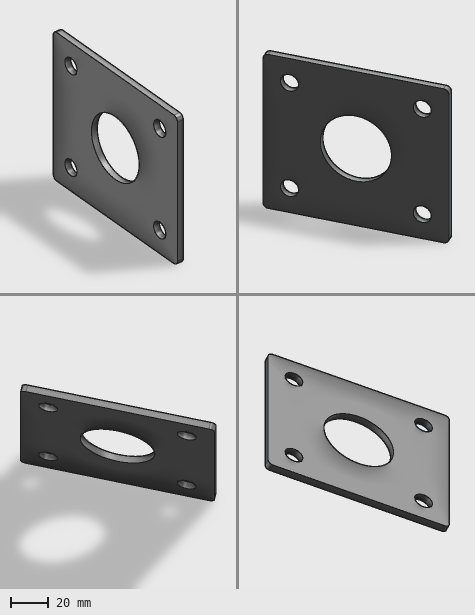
import cadquery as cq

plate_width = 105.0
plate_thickness = 4.0
plate_height = 95.0
corner_radius = 3.0

bore_diameter = 40.2

mount_hole_diameter = 10.15
mount_edge_distance = 15.0
mount_spacing_x = plate_width - 2 * mount_edge_distance
mount_spacing_z = plate_height - 2 * mount_edge_distance


def make_plate():
    """Upright plate centred on the origin, with its four corners rounded."""
    plate = cq.Workplane("XY").box(plate_width, plate_thickness, plate_height)
    return plate.edges("|Y").fillet(corner_radius)


def cut_bore(plate):
    """Cut the central opening through the thickness."""
    return plate.faces("<Y").workplane(centerOption="CenterOfBoundBox").hole(bore_diameter)


def cut_mount_holes(plate):
    """Cut the rectangular pattern of mounting holes through the thickness."""
    return (
        plate.faces("<Y")
        .workplane(centerOption="CenterOfBoundBox")
        .rect(mount_spacing_x, mount_spacing_z, forConstruction=True)
        .vertices()
        .hole(mount_hole_diameter)
    )


result = cut_mount_holes(cut_bore(make_plate()))